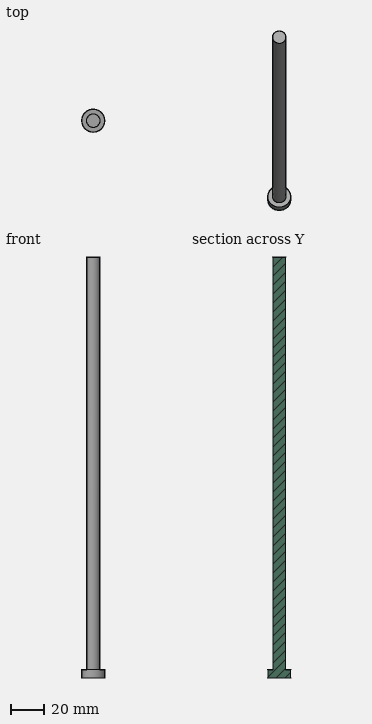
import cadquery as cq

total_length = 255.0
head_diameter = 14.0
head_height = 5.0
shank_diameter = 8.2

head = cq.Workplane("XY").circle(head_diameter / 2).extrude(head_height)
shank = cq.Workplane("XY").circle(shank_diameter / 2).extrude(total_length)

result = head.union(shank)